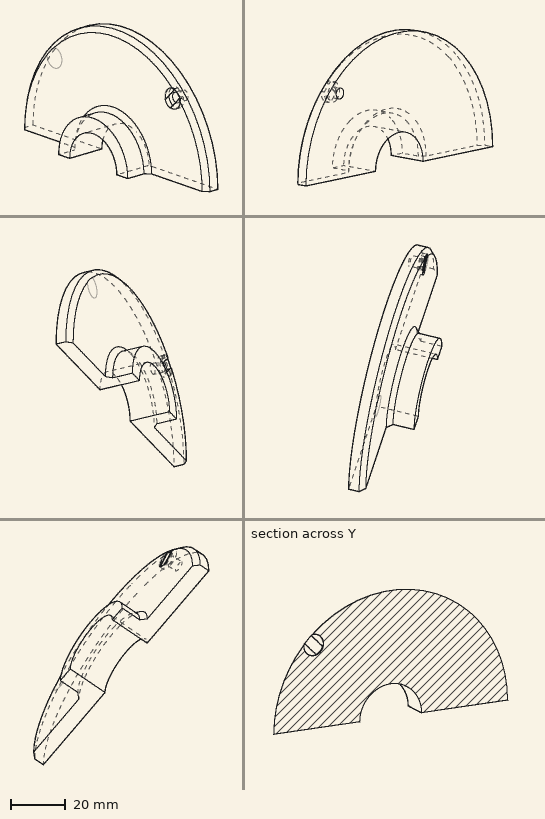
import cadquery as cq
import math

flange_radius = 50.0
flange_thickness = 6.0
rim_chamfer = 2.0
total_depth = 16.0
hub_radius = 18.7
hub_cone_height = 2.0
bore_radius = 12.7

seat_pitch_radius = 45.0
seat_angle = 45.0
seat_radius = 4.0
dimple_depth = 0.3
screw_hole_diameter = 4.0
slot_width = 3.8
lip_depth = 0.4
recess_depth = 2.0
seat_limit_radius = 48.4

back_y = 0.0
face_y = back_y - flange_thickness
hub_end_y = back_y - total_depth


def make_half_body():
    """Revolve the radial section through the upper half turn."""
    section = (
        cq.Workplane("XY")
        .moveTo(bore_radius, back_y)
        .lineTo(flange_radius, back_y)
        .lineTo(flange_radius, face_y + rim_chamfer)
        .lineTo(flange_radius - rim_chamfer, face_y)
        .lineTo(hub_radius + hub_cone_height, face_y)
        .lineTo(hub_radius, face_y - hub_cone_height)
        .lineTo(hub_radius, hub_end_y)
        .lineTo(bore_radius, hub_end_y)
        .close()
    )
    return section.revolve(180, (0, 0, 0), (0, -1, 0))


def seat_center(side):
    """X and Z of a seat; side is -1 for left and +1 for right."""
    angle = math.radians(seat_angle)
    return side * seat_pitch_radius * math.cos(angle), seat_pitch_radius * math.sin(angle)


def front_cylinder(center, radius, depth):
    """Cylinder along Y, sunk by depth from the flange face."""
    x, z = center
    start = cq.Vector(x, hub_end_y, z)
    length = face_y + depth - hub_end_y
    return cq.Workplane(cq.Solid.makeCylinder(radius, length, start, cq.Vector(0, 1, 0)))


def dimple(center):
    """Shallow spherical cup whose rim is the seat circle."""
    sphere_radius = (seat_radius**2 + dimple_depth**2) / (2 * dimple_depth)
    x, z = center
    sphere_y = face_y + dimple_depth - sphere_radius
    sphere = cq.Workplane("XY").sphere(sphere_radius).translate((x, sphere_y, z))
    return sphere.intersect(front_cylinder(center, seat_radius, flange_thickness))


def inside_rim(cutter):
    """Trim a cutter so that it leaves the outer rim intact."""
    start = cq.Vector(0, hub_end_y, 0)
    limit = cq.Solid.makeCylinder(seat_limit_radius, total_depth, start, cq.Vector(0, 1, 0))
    return cutter.intersect(cq.Workplane(limit))


def radial_slot(center):
    """Opening along the flange radius, ending on the seat circle."""
    x, z = center
    bar = (
        cq.Workplane("XY")
        .box(2 * seat_radius, 2 * recess_depth, slot_width)
        .rotate((0, 0, 0), (0, 1, 0), -seat_angle)
        .translate((x, face_y, z))
    )
    return bar.intersect(front_cylinder(center, seat_radius, recess_depth))


def recess_chamber(center):
    """Round chamber under the two thin lips beside the slot."""
    upper = front_cylinder(center, seat_radius, lip_depth)
    return front_cylinder(center, seat_radius, recess_depth).cut(upper)


left_seat = seat_center(-1)
right_seat = seat_center(1)

result = make_half_body()
for seat in (left_seat, right_seat):
    result = result.cut(inside_rim(dimple(seat)))
result = result.cut(inside_rim(radial_slot(right_seat)))
result = result.cut(inside_rim(recess_chamber(right_seat)))
result = result.cut(front_cylinder(right_seat, screw_hole_diameter / 2, flange_thickness))